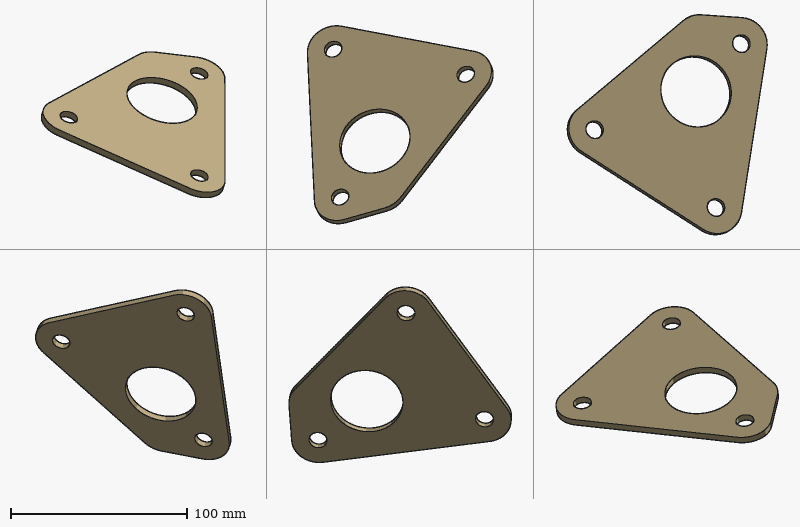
import cadquery as cq
import math

tilt_along_x = 11.6
tilt_along_y = 8.7
drop_along_x = math.tan(math.radians(tilt_along_x))
drop_along_y = math.tan(math.radians(tilt_along_y))
thickness = 4.0

bore_diameter = 41.0
bolt_hole_diameter = 10.1
corner_radius = 15.1

top_corner = (-6.8, 38.6)
right_corner = (59.8, -31.5)
bottom_corner = (-16.4, -62.1)
left_corner = (-21.7, 20.0)
corners = [top_corner, right_corner, bottom_corner, left_corner]
bolt_holes = [top_corner, right_corner, bottom_corner]

top_face = cq.Plane(
    origin=(0, 0, 0),
    xDir=(1, 0, -drop_along_x),
    normal=(drop_along_x, drop_along_y, 1),
)


def offset_point(centre, angle):
    """Point on the corner arc around centre, in the given direction."""
    return (
        centre[0] + corner_radius * math.cos(angle),
        centre[1] + corner_radius * math.sin(angle),
    )


def outward_angle(start, end):
    """Direction of the outward normal of the edge joining two clockwise corners."""
    return math.atan2(end[1] - start[1], end[0] - start[0]) + math.pi / 2


def rounded_outline(centres):
    """Closed outline of equal corner arcs joined by tangent straight edges."""
    first_edge = outward_angle(centres[-1], centres[0])
    outline = cq.Workplane(top_face).moveTo(*offset_point(centres[0], first_edge))
    for index, centre in enumerate(centres):
        following = centres[(index + 1) % len(centres)]
        arrival = outward_angle(centres[index - 1], centre)
        departure = outward_angle(centre, following)
        turn = (arrival - departure) % (2 * math.pi)
        outline = outline.threePointArc(
            offset_point(centre, arrival - turn / 2),
            offset_point(centre, departure),
        )
        if index < len(centres) - 1:
            outline = outline.lineTo(*offset_point(following, departure))
    return outline.close()


def through_holes(centres, diameter):
    """Cylinders through the plate, square to its faces."""
    return cq.Workplane(top_face).pushPoints(centres).circle(diameter / 2).extrude(-thickness)


plate = rounded_outline(corners).extrude(-thickness)
bore = through_holes([(0, 0)], bore_diameter)
result = plate.cut(bore).cut(through_holes(bolt_holes, bolt_hole_diameter))